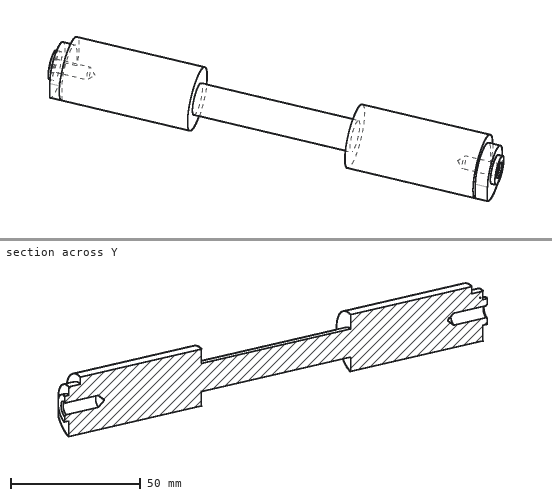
import cadquery as cq

total_length = 181.0
rod_diameter = 12.7
tip_diameter = 11.5
tip_length = 1.8

collar_diameter = 25.3
collar_inner_end = 58.7
step_length = 4.9
tongue_width = 19.0

hole_diameter = 5.0
hole_depth = 14.5
countersink_diameter = 6.3
countersink_depth = (countersink_diameter - hole_diameter) / 2
drill_point_depth = hole_diameter / 2

half_length = total_length / 2
collar_length = collar_inner_end - tip_length


def cylinder(start_x, length, diameter):
    """Cylinder centred on the X axis, starting at start_x."""
    return cq.Workplane("YZ", origin=(start_x, 0, 0)).circle(diameter / 2).extrude(length)


def make_collar():
    """Collar at the -X end, its outer step cut to a round-topped tongue."""
    outer_face = -half_length + tip_length
    collar = cylinder(outer_face, collar_length, collar_diameter)
    step_blank = cylinder(outer_face, step_length, collar_diameter)
    tongue = cylinder(outer_face, step_length, tongue_width).union(
        cq.Workplane("YZ", origin=(outer_face, 0, 0))
        .center(0, -collar_diameter / 4)
        .rect(tongue_width, collar_diameter / 2)
        .extrude(step_length)
    )
    return collar.cut(step_blank.cut(tongue))


def make_centre_hole():
    """Revolved cutter for the centre hole in the -X end."""
    mouth = -half_length
    return (
        cq.Workplane("XY")
        .moveTo(mouth, 0)
        .lineTo(mouth, countersink_diameter / 2)
        .lineTo(mouth + countersink_depth, hole_diameter / 2)
        .lineTo(mouth + hole_depth, hole_diameter / 2)
        .lineTo(mouth + hole_depth + drill_point_depth, 0)
        .close()
        .revolve(360, (0, 0, 0), (1, 0, 0))
    )


def make_end():
    """The -X half of the part, from the rod tip to the middle."""
    tip = cylinder(-half_length, collar_inner_end, tip_diameter)
    rod = cylinder(-half_length + collar_inner_end, half_length - collar_inner_end, rod_diameter)
    return tip.union(make_collar()).union(rod).cut(make_centre_hole())


left_end = make_end()
result = left_end.union(left_end.mirror("YZ")).clean()